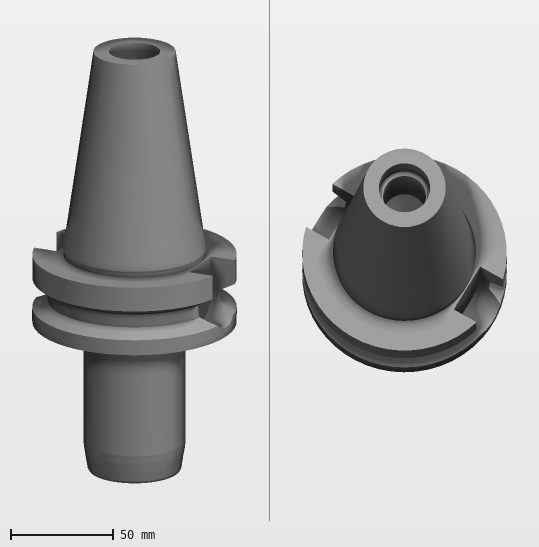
import cadquery as cq
import math

total_height = 215.8
flange_bottom = 76.0
lower_rim_top = 83.7
groove_bottom = 87.8
groove_top = 94.5
upper_rim_bottom = 98.6
flange_top = 111.0
gauge_height = 114.0
relief_top = 112.9
nose_edge_height = 1.0
nose_taper_top = 11.0
nose_blend_top = 14.9

flange_diameter = 100.0
groove_diameter = 85.0
gauge_diameter = 70.0
relief_diameter = 69.5
shank_diameter = 50.0
nose_taper_diameter = 49.2
nose_edge_diameter = 46.0
nose_end_diameter = 44.9
taper_ratio = 7 / 24

slot_width = 25.5
slot_floor_x = 35.4
slot_bottom = 80.5

counterbore_diameter = 25.0
counterbore_depth = 12.7
ledge_slope_depth = 1.0
hole_diameter = 21.0
hole_depth = 43.2
drill_point_angle = 140.0


def revolve_profile(steps):
    """Revolve (diameter, height) steps about the Z axis."""
    bottom = steps[0][1]
    top = steps[-1][1]
    points = [(diameter / 2, height) for diameter, height in steps]
    profile = cq.Workplane("XZ").polyline(points + [(0, top), (0, bottom)]).close()
    return profile.revolve(360, (0, 0, 0), (0, 1, 0))


def turned_body():
    taper_end_diameter = gauge_diameter - taper_ratio * (total_height - gauge_height)
    return revolve_profile([
        (nose_end_diameter, 0),
        (nose_edge_diameter, nose_edge_height),
        (nose_taper_diameter, nose_taper_top),
        (shank_diameter, nose_blend_top),
        (shank_diameter, flange_bottom),
        (flange_diameter, flange_bottom),
        (flange_diameter, lower_rim_top),
        (groove_diameter, groove_bottom),
        (groove_diameter, groove_top),
        (flange_diameter, upper_rim_bottom),
        (flange_diameter, flange_top),
        (relief_diameter, flange_top),
        (relief_diameter, relief_top),
        (gauge_diameter, gauge_height),
        (taper_end_diameter, total_height),
    ])


def drive_slot(side):
    """Round-bottomed slot, open at the top and rim; side is -1 or +1."""
    half_width = slot_width / 2
    arc_center = slot_bottom + half_width
    return (
        cq.Workplane("YZ", origin=(side * slot_floor_x, 0, 0))
        .moveTo(-half_width, flange_top)
        .lineTo(-half_width, arc_center)
        .threePointArc((0, slot_bottom), (half_width, arc_center))
        .lineTo(half_width, flange_top)
        .close()
        .extrude(side * flange_diameter / 2)
    )


def end_hole():
    point_height = hole_diameter / 2 / math.tan(math.radians(drill_point_angle / 2))
    ledge_height = total_height - counterbore_depth
    hole_end = total_height - hole_depth
    return revolve_profile([
        (0, hole_end - point_height),
        (hole_diameter, hole_end),
        (hole_diameter, ledge_height - ledge_slope_depth),
        (counterbore_diameter, ledge_height),
        (counterbore_diameter, total_height),
    ])


result = turned_body().cut(end_hole())
for side in (-1, 1):
    result = result.cut(drive_slot(side))